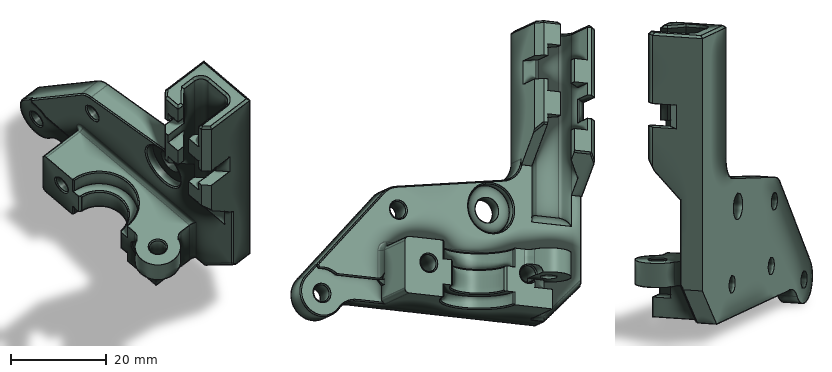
import cadquery as cq
import math


LENGTH = 65.2
HEIGHT = 66.7
PLATE_T = 5.0
LUG_T = 4.55
LUG_R = 5.0
LUG_COVE_R = 5.0
BOTTOM_Z = 4.2
CORNER_CUT = 8.5
OUTLINE_R = 5.0
SHOULDER = (20.3, 29.3)
NECK_Z = 34.1
EDGE_BREAK = 0.3
PLATE_EDGE_R = 1.0
RELIEF_TOP = 9.15
RELIEF_R = 5.2
RELIEF_END = (4.15, 10.15)
RELIEF_EXIT = (3.35, 11.5)

TOWER_W = 14.0
TOWER_D = 12.55
TOWER_X = LENGTH - TOWER_W
WALL_T = 2.4
CHANNEL_BACK = 3.0
CHANNEL_R = 2.0
CHANNEL_BOTTOM = 25.1
LIP = 3.0
LIP_EDGE = 1.55
TOWER_BEVEL = 1.5
TOP_BEVEL = 0.55
LIP_H = 5.0
LIP_PITCH = 1.5 * LIP_H
LEFT_FOOT_Z = 37.1
RIGHT_FOOT_Z = 31.75
WINDOW_DEPTH = 5.8
WINDOW_SLANT = 2.0

BLOCK_LEFT = 18.8
BLOCK_RIGHT = 53.2
BLOCK_TOP = 16.35
BLOCK_D = 15.6
BLOCK_R = 1.0
BLEND_TIP_H = 1.2
BORE_X = 36.1
BORE_Y = -15.75
BORE_R = 6.0
BORE_EDGE = 0.5
SEAT_R = 8.1
SEAT_TOP_H = 4.0
SEAT_BOTTOM_H = 2.75

EYE_X = 52.7
EYE_Y = -14.7
EYE_R = 4.75
EYE_H = 5.15
EYE_HOLE_D = 3.5
EYE_COVE_R = 2.0
NOTCH_LEFT = 49.05
NOTCH_BOTTOM = 8.4
NOTCH_DEPTH = 4.0

SCREW_D = 3.6
SCREW_HOLES = [
    (LUG_R, LUG_R, LUG_T),
    (22.55, 24.55, PLATE_T),
    (24.4, 11.15, BLOCK_D),
    (47.6, 11.15, BLOCK_D),
]
PIVOT = (44.1, 27.1)
PIVOT_D = 5.5
PIVOT_SEAT_D = 10.4
PIVOT_SEAT_DEPTH = 2.0

TOUCH = 0.1
EXTRA = 0.7


def box(x0, x1, y0, y1, z0, z1):
    return cq.Workplane("XY").box(x1 - x0, y1 - y0, z1 - z0, centered=False).translate((x0, y0, z0))


def cylinder_y(x, z, diameter, y_from, y_to):
    """Cylinder along Y between two depths measured from the back face."""
    sketch = cq.Workplane("XZ", origin=(0, -y_from, 0)).center(x, z).circle(diameter / 2)
    return sketch.extrude(y_to - y_from)


def cylinder_z(x, y, radius, z0, z1):
    return cq.Workplane("XY", origin=(0, 0, z0)).center(x, y).circle(radius).extrude(z1 - z0)


def cove(center, radius, wall, cove_r, side):
    """Concave arc from the line v = wall, below it, to a circle; points (u, v) on wall, arc, circle."""
    v = wall - cove_r
    reach = radius + cove_r
    u = center[0] + side * math.sqrt(reach**2 - (center[1] - v) ** 2)
    on_wall = (u, wall)
    to_circle = ((center[0] - u) / reach, (center[1] - v) / reach)
    on_circle = (u + cove_r * to_circle[0], v + cove_r * to_circle[1])
    half = (to_circle[0], to_circle[1] + 1)
    size = math.hypot(*half)
    middle = (u + cove_r * half[0] / size, v + cove_r * half[1] / size)
    return on_wall, middle, on_circle


def plate_body(depth):
    """Plate outline with the lug, extruded from the back towards -Y."""
    slope = math.atan2(SHOULDER[1] - LUG_R, SHOULDER[0] - LUG_R)
    distance = math.hypot(SHOULDER[0] - LUG_R, SHOULDER[1] - LUG_R)
    normal = slope + math.acos(LUG_R / distance)
    tangent = (LUG_R + LUG_R * math.cos(normal), LUG_R + LUG_R * math.sin(normal))
    low = math.radians(225)
    lug_low = (LUG_R + LUG_R * math.cos(low), LUG_R + LUG_R * math.sin(low))
    on_wall, middle, on_lug = cove((LUG_R, LUG_R), LUG_R, BOTTOM_Z, LUG_COVE_R, 1)
    body = (
        cq.Workplane("XZ")
        .moveTo(*on_wall)
        .lineTo(LENGTH - CORNER_CUT, BOTTOM_Z)
        .lineTo(LENGTH, BOTTOM_Z + CORNER_CUT)
        .lineTo(LENGTH, HEIGHT)
        .lineTo(TOWER_X, HEIGHT)
        .lineTo(TOWER_X, NECK_Z)
        .lineTo(*SHOULDER)
        .lineTo(*tangent)
        .threePointArc(lug_low, on_lug)
        .threePointArc(middle, on_wall)
        .close()
        .extrude(depth)
    )
    for x, z in [SHOULDER, (TOWER_X, NECK_Z)]:
        corner = cq.selectors.NearestToPointSelector((x, -depth / 2, z))
        body = body.edges("|Y").edges(corner).fillet(OUTLINE_R)
    return body


def full_plate():
    """Plate of full thickness, without the thinned area at the lug end."""
    rise = RELIEF_TOP - LUG_R
    right = BLOCK_LEFT + EXTRA
    arc_angle = math.radians(70)
    relief = (
        cq.Workplane("XZ")
        .moveTo(right, RELIEF_TOP)
        .lineTo(LUG_R + math.sqrt(RELIEF_R**2 - rise**2), RELIEF_TOP)
        .threePointArc(
            (LUG_R + RELIEF_R * math.cos(arc_angle), LUG_R + RELIEF_R * math.sin(arc_angle)), RELIEF_END
        )
        .lineTo(*RELIEF_EXIT)
        .lineTo(-EXTRA, RELIEF_EXIT[1])
        .lineTo(-EXTRA, -EXTRA)
        .lineTo(right, -EXTRA)
        .close()
        .extrude(PLATE_T)
    )
    plate = plate_body(PLATE_T).cut(relief)
    lower_right_edges = cq.selectors.BoxSelector(
        (LENGTH / 2, -PLATE_T - TOUCH, BOTTOM_Z - TOUCH),
        (LENGTH - TOUCH, TOUCH - PLATE_T, BOTTOM_Z + CORNER_CUT),
    )
    plate = plate.edges(lower_right_edges).fillet(PLATE_EDGE_R)
    return plate.faces("<Y").chamfer(EDGE_BREAK)


def bearing_block():
    block = box(BLOCK_LEFT, BLOCK_RIGHT, -BLOCK_D, 0, BOTTOM_Z, BLOCK_TOP)
    return block.edges("|Y and <X").fillet(BLOCK_R)


def blend_block(body):
    """Blend the top and the sides of the block into the plate."""
    base_edges = cq.selectors.BoxSelector(
        (BLOCK_LEFT - TOUCH, -PLATE_T - TOUCH, BOTTOM_Z + TOUCH),
        (BLOCK_RIGHT + TOUCH, TOUCH - PLATE_T, BLOCK_TOP + TOUCH),
    )
    return body.edges(base_edges).fillet(BLOCK_R)


def blend_tip():
    """Tapered end of the left block blend, just below the border of the thinned area."""
    wedge = (
        cq.Workplane("XZ")
        .polyline([
            (BLOCK_LEFT - BLOCK_R, RELIEF_TOP), (BLOCK_LEFT, RELIEF_TOP),
            (BLOCK_LEFT, RELIEF_TOP - BLEND_TIP_H),
        ])
        .close()
        .extrude(PLATE_T + BLOCK_R)
    )
    return wedge.cut(cylinder_z(BLOCK_LEFT - BLOCK_R, -PLATE_T - BLOCK_R, BLOCK_R, 0, BLOCK_TOP))


def hinge_eye():
    """Vertical eye, blended into the front and the right side of the block."""
    z0 = BLOCK_TOP - EYE_H
    eye = cylinder_z(EYE_X, EYE_Y, EYE_R, z0, BLOCK_TOP)
    front = cove((EYE_X, EYE_Y), EYE_R, -BLOCK_D, EYE_COVE_R, -1)
    side = cove((EYE_Y, -EYE_X), EYE_R, -BLOCK_RIGHT, EYE_COVE_R, 1)
    side = [(-v, u) for u, v in side]
    for on_wall, middle, on_circle in (front, side):
        blend = (
            cq.Workplane("XY", origin=(0, 0, z0))
            .moveTo(*on_wall)
            .threePointArc(middle, on_circle)
            .lineTo(EYE_X, EYE_Y)
            .close()
            .extrude(EYE_H)
        )
        eye = eye.union(blend)
    return eye


def tower_half(outer, inward, foot_z):
    """Half of the solid tower, with its sloped foot and its bevelled front corner."""
    rise = TOWER_D - PLATE_T
    half = (
        cq.Workplane("YZ", origin=(outer, 0, 0))
        .polyline([
            (0, HEIGHT), (-TOWER_D, HEIGHT), (-TOWER_D, foot_z + rise), (-PLATE_T, foot_z), (0, foot_z),
        ])
        .close()
        .extrude(inward * TOWER_W / 2)
    )
    bevel = (
        cq.Workplane("XY")
        .polyline([
            (outer, -TOWER_D), (outer + inward * TOWER_BEVEL, -TOWER_D), (outer, TOWER_BEVEL - TOWER_D),
        ])
        .close()
        .extrude(HEIGHT)
    )
    foot_edges = cq.selectors.BoxSelector(
        (0, -TOWER_D - TOUCH, foot_z), (LENGTH, TOWER_BEVEL - TOWER_D, foot_z + rise + TOUCH)
    )
    return half.cut(bevel).edges(foot_edges).chamfer(EDGE_BREAK)


def tower():
    return tower_half(TOWER_X, 1, LEFT_FOOT_Z).union(tower_half(LENGTH, -1, RIGHT_FOOT_Z))


def channel():
    """Channel of the rail with full-length lips; it runs out on a ramp into the plate."""
    left = TOWER_X + WALL_T
    right = LENGTH - WALL_T
    tip = TOWER_D - LIP_EDGE
    outline = (
        cq.Workplane("XY", origin=(0, 0, CHANNEL_BOTTOM))
        .polyline([
            (left, -CHANNEL_BACK), (right, -CHANNEL_BACK), (right, LIP - tip), (right - LIP, -tip),
            (right - LIP, -TOWER_D - EXTRA), (left + LIP, -TOWER_D - EXTRA), (left + LIP, -tip),
            (left, LIP - tip),
        ])
        .close()
        .extrude(HEIGHT)
    )
    outline = outline.edges("|Z and >Y").fillet(CHANNEL_R)
    slope = PLATE_T - CHANNEL_BACK
    ramp = (
        cq.Workplane("YZ", origin=(left, 0, 0))
        .polyline([
            (-PLATE_T, CHANNEL_BOTTOM), (-CHANNEL_BACK, CHANNEL_BOTTOM),
            (-CHANNEL_BACK, CHANNEL_BOTTOM + slope),
        ])
        .close()
        .extrude(right - left)
    )
    return outline.cut(ramp)


def lip_gap(x0, x1, z0, z1):
    return box(x0, x1, -TOWER_D - EXTRA, -CHANNEL_BACK - CHANNEL_R, z0, z1)


def lip_gaps():
    """Openings between the lips; the lips of the two sides alternate."""
    left = TOWER_X + WALL_T
    right = LENGTH - WALL_T
    middle = (left + right) / 2
    z = [HEIGHT - i * LIP_PITCH for i in range(4)]
    gaps = lip_gap(left, middle, z[2], z[0] - LIP_H)
    gaps = gaps.union(lip_gap(left, middle, CHANNEL_BOTTOM, z[2] - LIP_H))
    gaps = gaps.union(lip_gap(middle, right, z[1], HEIGHT + EXTRA))
    gaps = gaps.union(lip_gap(middle, right, z[3], z[1] - LIP_H))
    for outer, inward, top in [(TOWER_X, 1, z[1]), (LENGTH, -1, z[2])]:
        slant = WINDOW_DEPTH + WINDOW_SLANT
        window = (
            cq.Workplane("XY", origin=(0, 0, top - LIP_H))
            .polyline([
                (outer, -WINDOW_DEPTH), (outer + inward * WINDOW_SLANT, -slant),
                (outer + inward * (WALL_T + EXTRA), -slant),
                (outer + inward * (WALL_T + EXTRA), -TOWER_D - EXTRA),
                (outer, -TOWER_D - EXTRA),
            ])
            .close()
            .extrude(LIP_H)
        )
        gaps = gaps.union(window)
    return gaps


def flare_z(x, y, radius, z, direction):
    """Cone that bevels the rim of a vertical hole at height z; direction is +1 for an upper rim."""
    low = cq.Workplane("XY", origin=(x, y, z - direction * EDGE_BREAK)).circle(radius)
    return low.workplane(offset=direction * EDGE_BREAK).circle(radius + EDGE_BREAK).loft()


def flare_y(x, z, radius, face):
    """Cone that bevels the rim of a hole in a face at the given distance from the back."""
    deep = cq.Workplane("XZ", origin=(x, EDGE_BREAK - face, z)).circle(radius)
    return deep.workplane(offset=EDGE_BREAK).circle(radius + EDGE_BREAK).loft()


def bearing_bore():
    """Half round bore with a wider bearing seat at each end and bevelled rims."""
    lower = BOTTOM_Z + SEAT_BOTTOM_H
    upper = BLOCK_TOP - SEAT_TOP_H
    bore = cylinder_z(BORE_X, BORE_Y, BORE_R, BOTTOM_Z - EXTRA, BLOCK_TOP + EXTRA)
    bore = bore.union(cylinder_z(BORE_X, BORE_Y, SEAT_R, BOTTOM_Z - EXTRA, lower))
    bore = bore.union(cylinder_z(BORE_X, BORE_Y, SEAT_R, upper, BLOCK_TOP + EXTRA))
    for radius, z, direction in [
        (SEAT_R, BLOCK_TOP, 1), (BORE_R, upper, 1), (BORE_R, lower, -1), (SEAT_R, BOTTOM_Z, -1),
    ]:
        bore = bore.union(flare_z(BORE_X, BORE_Y, radius, z, direction))
    for radius, size, z0, z1 in [
        (SEAT_R, EDGE_BREAK, BOTTOM_Z, lower), (BORE_R, BORE_EDGE, lower, upper),
        (SEAT_R, EDGE_BREAK, upper, BLOCK_TOP),
    ]:
        bevel = (
            cq.Workplane("XY", origin=(BORE_X, -BLOCK_D, z0))
            .polyline([(-radius - size, 0), (radius + size, 0), (radius, size), (-radius, size)])
            .close()
            .extrude(z1 - z0)
        )
        bore = bore.union(bevel)
    return bore


def holes():
    """All round holes, each with a small bevel at its front rim."""
    seat_floor = PLATE_T - PIVOT_SEAT_DEPTH
    cut = cylinder_y(*PIVOT, PIVOT_D, -EXTRA, PLATE_T + EXTRA)
    cut = cut.union(cylinder_y(*PIVOT, PIVOT_SEAT_D, seat_floor, PLATE_T + EXTRA))
    cut = cut.union(flare_y(*PIVOT, PIVOT_SEAT_D / 2, PLATE_T))
    for x, z, face in SCREW_HOLES:
        cut = cut.union(cylinder_y(x, z, SCREW_D, -EXTRA, face))
        cut = cut.union(flare_y(x, z, SCREW_D / 2, face))
        cut = cut.union(cylinder_y(x, z, SCREW_D + 2 * EDGE_BREAK, face, face + BLOCK_D))
    cut = cut.union(cylinder_z(EYE_X, EYE_Y, EYE_HOLE_D / 2, BLOCK_TOP - EYE_H, BLOCK_TOP))
    return cut.union(flare_z(EYE_X, EYE_Y, EYE_HOLE_D / 2, BLOCK_TOP, 1))


def eye_notch():
    """Clearance in the block under the hinge eye."""
    return box(
        NOTCH_LEFT, BLOCK_RIGHT, -BLOCK_D - EXTRA, NOTCH_DEPTH - BLOCK_D, NOTCH_BOTTOM, BLOCK_TOP - EYE_H
    )


plate = full_plate()
plate = plate.union(bearing_block())
plate = blend_block(plate).union(plate_body(LUG_T).faces("<Y").chamfer(EDGE_BREAK))
plate = plate.union(blend_tip())

rail = plate.union(tower()).cut(channel()).cut(lip_gaps())
rail = rail.faces(">Z").chamfer(TOP_BEVEL)

result = rail.union(hinge_eye()).cut(bearing_bore()).cut(holes()).cut(eye_notch())